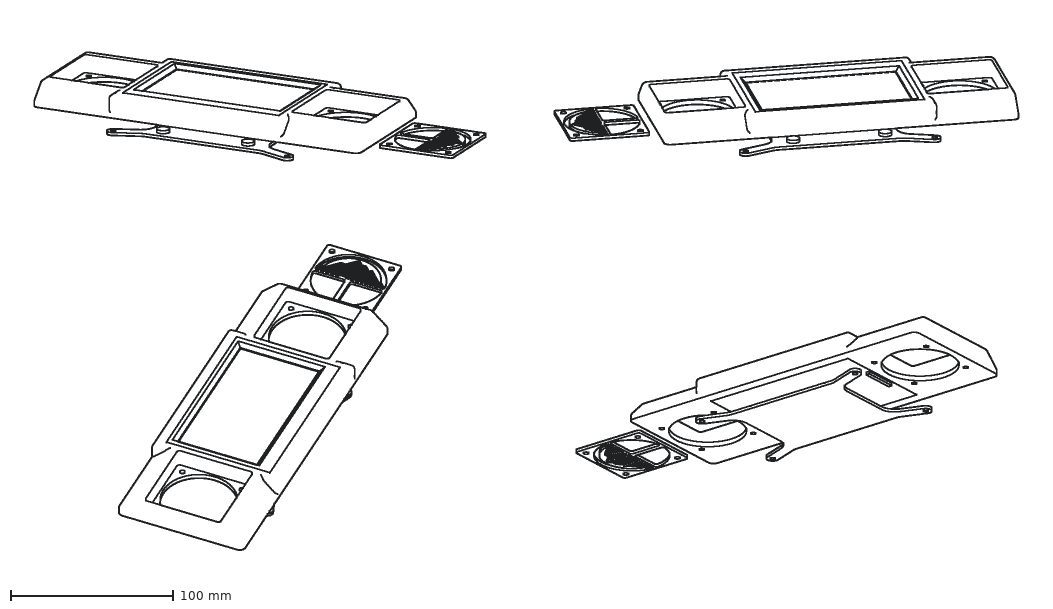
import cadquery as cq
import math

housing_length = 223.2
housing_width = 85.0
housing_height = 14.8
slope_run = 11.2
slope_rise = 10.5
slope_edge_radius = 4.0
slope_foot_radius = 2.0
end_radius = 4.0

block_length = 119.5
block_top_radius = 3.0
block_corner_radius = 2.0

fan_offset = 82.5
fan_pocket_size = 50.8
fan_pocket_corner_radius = 2.0
fan_floor = 3.0
fan_opening_diameter = 48.0
fan_screw_spacing = 40.2
fan_screw_diameter = 3.0

opening_length = 106.5
opening_width = 69.8
bezel_thickness = 3.0
window_depth = 2.5
screen_length = 95.0
screen_width = 53.5
screen_offset_y = 3.0
screen_gap = 0.3
window_flare = 2.5

connector_length = 23.0
connector_width = 2.5
connector_drop = 1.7
connector_left = -52.0

plate_length = 126.7
plate_width = 79.2
plate_thickness = 2.0
plate_bottom = -12.3
plate_body_length = 78.7
plate_body_width = 65.8
ear_radius = 4.0
ear_angle = 20.0
ear_hole_diameter = 3.0
ear_blend_radius = 10.0

standoff_diameter = 8.0
standoff_height = 2.0
standoff_spacing_x = 58.0
standoff_spacing_y = 48.8
standoff_center_x = -1.7

grille_size = 50.0
grille_thickness = 2.0
grille_right_end = 167.5
grille_center_x = grille_right_end - grille_size / 2
grille_center_y = -1.0
grille_corner_radius = 1.7
grille_hole_diameter = 3.3
grille_opening_diameter = 47.0
spine_width = 1.7
spoke_width = 3.3
quadrant_corner_radius = 1.5
crescent_inner_radius = 20.0
slot_width = 1.2
slot_pitch = 2 * slot_width
slot_count = 6


def square_points(spacing_x, spacing_y, center_x=0.0):
    return [
        (center_x + side_x * spacing_x / 2, side_y * spacing_y / 2)
        for side_x in (-1, 1)
        for side_y in (-1, 1)
    ]


def sloped_frame():
    """Full-length bar with sloped long sides and rounded ends."""
    half_width = housing_width / 2
    slope_foot = housing_height - slope_rise
    profile = [
        (-half_width, 0),
        (half_width, 0),
        (half_width, slope_foot),
        (half_width - slope_run, housing_height),
        (-half_width + slope_run, housing_height),
        (-half_width, slope_foot),
    ]
    frame = (
        cq.Workplane("YZ")
        .polyline(profile)
        .close()
        .extrude(housing_length / 2, both=True)
    )
    top_edges = cq.selectors.BoxSelector(
        (-2.8, -half_width, housing_height - 0.3), (2.8, half_width, housing_height + 0.3)
    )
    foot_edges = cq.selectors.BoxSelector(
        (-2.8, -half_width - 2.8, slope_foot - 0.3), (2.8, half_width + 2.8, slope_foot + 0.3)
    )
    frame = frame.edges("|X").edges(top_edges).fillet(slope_edge_radius)
    frame = frame.edges("|X").edges(foot_edges).fillet(slope_foot_radius)
    return frame.faces("<X or >X").edges("not <Z").fillet(end_radius)


def raised_block():
    """Box across the middle of the housing, rounded at its corners and top."""
    block = cq.Workplane("XY").box(
        block_length, housing_width, housing_height, centered=(True, True, False)
    )
    block = block.edges("|Z").fillet(block_corner_radius)
    return block.faces(">Z").edges().fillet(block_top_radius)


def fan_seat(center_x):
    """Material to remove for one fan: square pocket, air opening and screw holes."""
    pocket = (
        cq.Workplane("XY", origin=(center_x, 0, fan_floor))
        .rect(fan_pocket_size, fan_pocket_size)
        .extrude(housing_height)
        .edges("|Z")
        .fillet(fan_pocket_corner_radius)
    )
    floor = cq.Workplane("XY", origin=(center_x, 0, 0))
    opening = floor.circle(fan_opening_diameter / 2).extrude(housing_height)
    screws = (
        floor.pushPoints(square_points(fan_screw_spacing, fan_screw_spacing))
        .circle(fan_screw_diameter / 2)
        .extrude(housing_height)
    )
    return pocket.union(opening).union(screws)


def make_housing():
    housing = sloped_frame().union(raised_block())
    for side in (-1, 1):
        housing = housing.cut(fan_seat(side * fan_offset))
    opening = cq.Workplane("XY").rect(opening_length, opening_width).extrude(housing_height)
    return housing.cut(opening)


def make_bezel():
    """Frame flush with the top of the block, with a window that flares upward."""
    bezel_bottom = housing_height - bezel_thickness
    frame = (
        cq.Workplane("XY", origin=(0, 0, bezel_bottom))
        .rect(opening_length, opening_width)
        .extrude(bezel_thickness)
    )
    window_center = (0, screen_offset_y, housing_height - window_depth)
    window = (
        cq.Workplane("XY", origin=window_center)
        .rect(screen_length, screen_width)
        .workplane(offset=window_depth)
        .rect(screen_length + 2 * window_flare, screen_width + 2 * window_flare)
        .loft(ruled=True)
    )
    straight_wall = (
        cq.Workplane("XY", origin=window_center)
        .rect(screen_length, screen_width)
        .extrude(window_depth - bezel_thickness)
    )
    return frame.cut(window).cut(straight_wall)


def make_display():
    """Block that fills the opening below the bezel, with a connector underneath."""
    display = (
        cq.Workplane("XY")
        .rect(opening_length, opening_width)
        .extrude(housing_height - bezel_thickness)
    )
    connector = (
        cq.Workplane("XY", origin=(connector_left + connector_width / 2, 0, 0))
        .rect(connector_width, connector_length)
        .extrude(-connector_drop)
    )
    screen = (
        cq.Workplane("XY", origin=(0, screen_offset_y, housing_height - bezel_thickness))
        .rect(screen_length - 2 * screen_gap, screen_width - 2 * screen_gap)
        .extrude(bezel_thickness - window_depth)
    )
    return display.union(screen).union(connector)


def ear_points(ear_x, ear_y):
    """Outline points of the ear at +X +Y: two straight edges joined by a round tip."""
    along_x = math.cos(math.radians(ear_angle))
    along_y = math.sin(math.radians(ear_angle))
    end_tangent = (ear_x + ear_radius * along_y, ear_y - ear_radius * along_x)
    side_tangent = (ear_x - ear_radius * along_y, ear_y + ear_radius * along_x)
    tip = (ear_x + ear_radius * along_x, ear_y + ear_radius * along_y)
    end_drop = (end_tangent[0] - plate_body_length / 2) * along_y / along_x
    side_run = (side_tangent[1] - plate_body_width / 2) * along_x / along_y
    end_root = (plate_body_length / 2, end_tangent[1] - end_drop)
    side_root = (side_tangent[0] - side_run, plate_body_width / 2)
    return end_root, end_tangent, tip, side_tangent, side_root


def make_plate():
    """Flat plate with a rounded ear at each corner and four standoffs on top."""
    ear_x = plate_length / 2 - ear_radius
    ear_y = plate_width / 2 - ear_radius
    quarter = ear_points(ear_x, ear_y)
    blank = cq.Workplane("XY", origin=(0, 0, plate_bottom))

    outline = blank.moveTo(*quarter[0])
    for side_x, side_y in ((1, 1), (-1, 1), (-1, -1), (1, -1)):
        ear = [(side_x * x, side_y * y) for x, y in quarter]
        if side_x != side_y:
            ear.reverse()
        if (side_x, side_y) != (1, 1):
            outline = outline.lineTo(*ear[0])
        outline = outline.lineTo(*ear[1]).threePointArc(ear[2], ear[3]).lineTo(*ear[4])
    plate = outline.close().extrude(plate_thickness)

    for x, y in (quarter[0], quarter[-1]):
        for root_x, root_y in square_points(2 * x, 2 * y):
            root = (root_x, root_y, plate_bottom + plate_thickness / 2)
            plate = plate.edges(cq.selectors.NearestToPointSelector(root)).fillet(ear_blend_radius)

    holes = (
        blank.pushPoints(square_points(2 * ear_x, 2 * ear_y))
        .circle(ear_hole_diameter / 2)
        .extrude(plate_thickness)
    )
    standoffs = (
        blank.workplane(offset=plate_thickness)
        .pushPoints(square_points(standoff_spacing_x, standoff_spacing_y, standoff_center_x))
        .circle(standoff_diameter / 2)
        .extrude(standoff_height)
    )
    return plate.cut(holes).union(standoffs)


def zigzag_shape(growth):
    """Zigzag outline right of the spine, offset outward by growth (inward if negative)."""
    far = 39.0
    reach = 23.5
    points = [
        (-far, reach + far),
        (12.5, reach - 12.5),
        (12.5, 7.5),
        (19.0, 1.0),
        (16.0, -2.0),
        (16.0, -4.7),
        (12.3, -8.5),
        (13.7, -9.8),
        (-far, -reach - far),
    ]
    outline = cq.Workplane("XY").polyline(points).close()
    if growth:
        outline = outline.offset2D(growth, "intersection")
    return outline.extrude(grille_thickness)


def make_grille():
    """Square fan guard: two open quadrants on the left, nested slots on the right."""
    blank = cq.Workplane("XY")
    disc = blank.circle(grille_opening_diameter / 2).extrude(grille_thickness)
    half = grille_opening_diameter
    right_side = blank.center(spine_width / 2 + half / 2, 0).rect(half, 2 * half).extrude(grille_thickness)
    inner_disc = blank.circle(crescent_inner_radius).extrude(grille_thickness)
    grille = blank.rect(grille_size, grille_size).extrude(grille_thickness)
    grille = grille.edges("|Z").fillet(grille_corner_radius)
    holes = square_points(fan_screw_spacing, fan_screw_spacing)
    grille = grille.cut(blank.pushPoints(holes).circle(grille_hole_diameter / 2).extrude(grille_thickness))
    for side in (-1, 1):
        quadrant = (
            blank.center(-spine_width / 2 - half / 2, side * (spoke_width + half) / 2)
            .rect(half, half)
            .extrude(grille_thickness)
            .intersect(disc)
            .edges("|Z")
            .fillet(quadrant_corner_radius)
        )
        grille = grille.cut(quadrant)
    rib_width = slot_pitch - slot_width
    crescent = disc.intersect(right_side).cut(inner_disc).cut(zigzag_shape(rib_width))
    grille = grille.cut(crescent)
    for index in range(slot_count):
        outer = zigzag_shape(-index * slot_pitch)
        inner = zigzag_shape(-index * slot_pitch - slot_width)
        grille = grille.cut(outer.cut(inner).intersect(right_side).intersect(disc))
    return grille.translate((grille_center_x, grille_center_y, 0))


housing = make_housing()
bezel = make_bezel()
display = make_display()
plate = make_plate()
grille = make_grille()

bodies = [housing, bezel, display, plate, grille]
result = cq.Compound.makeCompound([body.solids().val() for body in bodies])